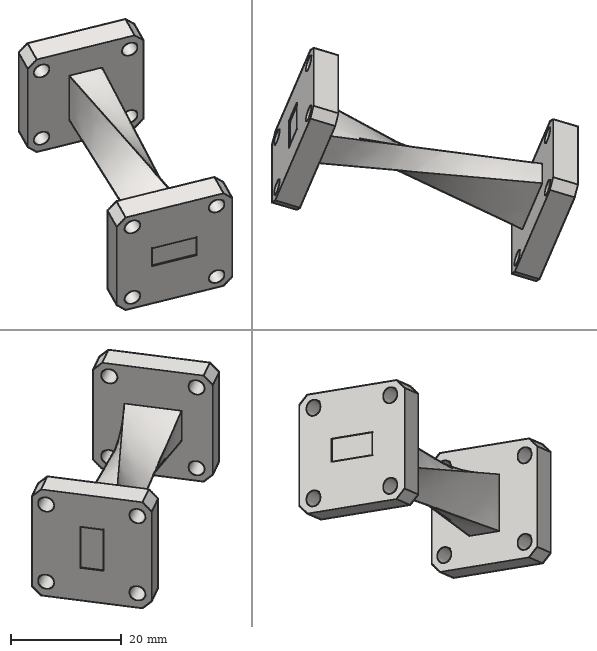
import cadquery as cq

length = 50.8
flange_side = 22.35
flange_thickness = 4.8
flange_chamfer = 1.75

bore_width = 4.3
bore_height = 8.65
wall = 1.0
core_setback = 0.25

hole_diameter = 3.0
hole_spacing_wide = 17.0
hole_spacing_narrow = 16.25

half_length = length / 2
inner_face = half_length - flange_thickness
tube_width = bore_width + 2 * wall
tube_height = bore_height + 2 * wall


def make_flange(x_start, spacing_y, spacing_z):
    """Square plate with chamfered corners and four screw holes."""
    plate = (
        cq.Workplane("YZ", origin=(x_start, 0, 0))
        .rect(flange_side, flange_side)
        .extrude(flange_thickness)
        .edges("|X")
        .chamfer(flange_chamfer)
    )
    holes = (
        cq.Workplane("YZ", origin=(x_start, 0, 0))
        .rect(spacing_y, spacing_z, forConstruction=True)
        .vertices()
        .circle(hole_diameter / 2)
        .extrude(flange_thickness)
    )
    return plate.cut(holes)


def section_wire(x, size_y, size_z, first_corner):
    """Rectangle across X whose point order starts at the chosen corner."""
    corners = [(-1, -1), (1, -1), (1, 1), (-1, 1)]
    ordered = corners[first_corner:] + corners[:first_corner]
    points = [cq.Vector(x, y * size_y / 2, z * size_z / 2) for y, z in ordered]
    return cq.Wire.makePolygon(points, close=True)


def make_twist(width, height):
    """Ruled bar between the flanges: upright at -X, a quarter turn later at +X."""
    upright = section_wire(-inner_face, width, height, 0)
    turned = section_wire(inner_face, height, width, 3)
    sides = []
    for start_edge, end_edge in zip(upright.Edges(), turned.Edges()):
        sides.append(cq.Face.makeRuledSurface(start_edge, end_edge))
    ends = [cq.Face.makeFromWires(upright), cq.Face.makeFromWires(turned)]
    shell = cq.Shell.makeShell(sides + ends)
    return cq.Workplane(cq.Solid.makeSolid(shell))


def make_passage(end_extension):
    """Twisted bore shape, carried straight into each flange by end_extension."""
    at_start = (
        cq.Workplane("YZ", origin=(-inner_face, 0, 0))
        .rect(bore_width, bore_height)
        .extrude(-end_extension)
    )
    at_end = (
        cq.Workplane("YZ", origin=(inner_face, 0, 0))
        .rect(bore_height, bore_width)
        .extrude(end_extension)
    )
    return make_twist(bore_width, bore_height).union(at_start).union(at_end)


def make_housing():
    """Two flanges joined by the twisted tube, with the bore right through."""
    start_flange = make_flange(-half_length, hole_spacing_wide, hole_spacing_narrow)
    end_flange = make_flange(inner_face, hole_spacing_narrow, hole_spacing_wide)
    tube = make_twist(tube_width, tube_height)
    return start_flange.union(tube).union(end_flange).cut(make_passage(flange_thickness))


def make_core():
    """Twisted core that fills the bore up to the setback at each end."""
    return make_passage(flange_thickness - core_setback)


housing = make_housing()
core = make_core()

result = cq.Compound.makeCompound([*housing.solids().vals(), *core.solids().vals()])